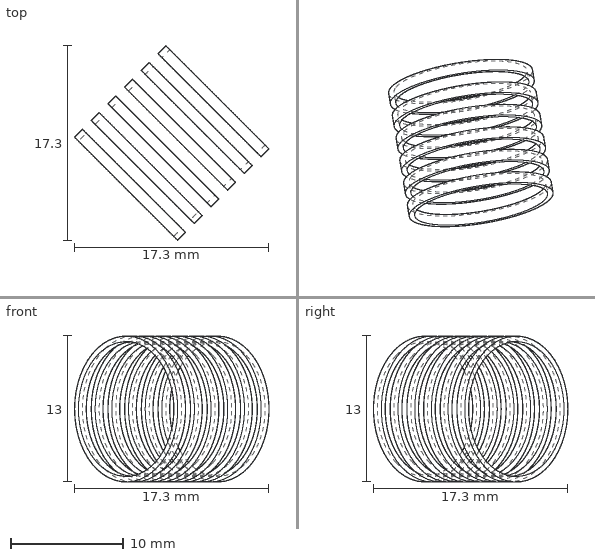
import cadquery as cq

outer_diameter = 13.0
wall_thickness = 0.5
ring_width = 1.0
ring_pitch = 2.1
ring_count = 6

inner_diameter = outer_diameter - 2 * wall_thickness
stack_length = (ring_count - 1) * ring_pitch + ring_width

axis_direction = cq.Vector(1, 1, 0).normalized()
up_direction = cq.Vector(0, 0, 1)


def make_ring(start_distance):
    """Flat-sided ring whose near face lies start_distance along the axis."""
    ring_plane = cq.Plane(
        origin=axis_direction * start_distance,
        xDir=up_direction.cross(axis_direction),
        normal=axis_direction,
    )
    return (
        cq.Workplane(ring_plane)
        .circle(outer_diameter / 2)
        .circle(inner_diameter / 2)
        .extrude(ring_width)
    )


rings = []
for index in range(ring_count):
    near_face = index * ring_pitch - stack_length / 2
    rings.append(make_ring(near_face).val())

result = cq.Compound.makeCompound(rings)